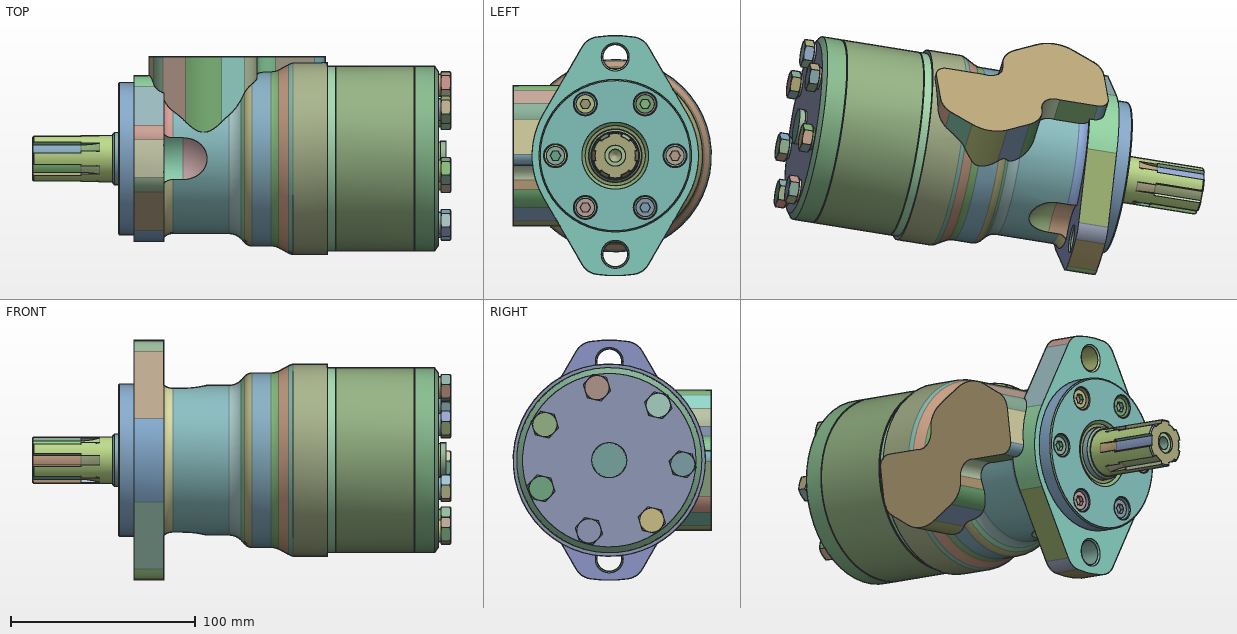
import cadquery as cq
import math


PLAIN_SHAFT_END = 43.1
COVER_FACE = 46.3
FLANGE_FRONT = 54.7
FLANGE_BACK = 71.0
HOUSING_END = 159.3
PLATE_END = 163.5
RING_END = 206.5
CAP_END = 219.3
BOLT_END = 226.0

SHAFT_RADIUS = 12.7
SPLINE_ROOT_RADIUS = 10.8
SPLINE_COUNT = 6
SPLINE_TOOTH_WIDTH = 6.0
SPLINE_RUNOUT_WIDTH = 5.0
SPLINE_LENGTH = 26.0
SPLINE_RUNOUT_END = 36.1
COLLAR_RADIUS = 14.2
COLLAR_CHAMFER = 1.1
SHAFT_TIP_CHAMFER = 0.7
CENTER_HOLE_DIAMETER = 7.0
CENTER_HOLE_MOUTH_DIAMETER = 11.3
CENTER_HOLE_MOUTH_DEPTH = 1.4
CENTER_HOLE_DEPTH = 11.3
DRILL_POINT_ANGLE = 118.0

COVER_RADIUS = 82.5 / 2
COVER_CHAMFER = 0.7
COVER_BORE_DIAMETER = 29.0
SEAL_RECESS_DIAMETER = 32.5
SEAL_RECESS_DEPTH = 1.1
SEAL_RECESS_CHAMFER = 1.8
SCREW_COUNT = 6
SCREW_CIRCLE_RADIUS = 32.3
SCREW_POCKET_DIAMETER = 12.0
SCREW_POCKET_DEPTH = 6.0
SCREW_POCKET_CHAMFER = 0.5
SCREW_HEAD_DIAMETER = 10.0
SCREW_HEAD_HEIGHT = 4.5
SCREW_SOCKET_WIDTH = 5.0
SCREW_SOCKET_DEPTH = 2.3

FLANGE_SIDE_RADIUS = 45.0
FLANGE_TIP_RADIUS = 130.0 / 2
FLANGE_CORNER_RADIUS = 10.8
FLANGE_FLANK_ANGLE = 30.0
MOUNT_HOLE_DIAMETER = 13.3
MOUNT_HOLE_OFFSET = 53.3
MOUNT_HOLE_CHAMFER = 1.0
BOLT_POCKET_RADIUS = 18.3
BOLT_POCKET_BALL_X = 81.0

NECK_RADIUS = 81.0 / 2
NECK_START = 75.7
NECK_ROOT_RADIUS = 42.7
NECK_END = 106.2
SHOULDER_RADIUS = 47.2
TAIL_RADIUS = 52.0

BLOCK_TOP = 55.1
BLOCK_CENTER_X = 110.5
BLOCK_HALF_LENGTH = 47.7
BOSS_OFFSET_X = -18.0
BOSS_CENTER_Z = 18.5
BOSS_RADIUS = 19.5
BOSS_FLANK_ANGLE = 30.0

STACK_RADIUS = 100.0 / 2
RING_CHAMFER = 0.5
CAP_CHAMFER_LENGTH = 2.3
CAP_CHAMFER_DEPTH = 3.2
BOLT_COUNT = 7
BOLT_CIRCLE_RADIUS = 39.8
BOLT_START_ANGLE = -3.2
BOLT_HEAD_WIDTH = 13.0
BOLT_HEX_TURN = -13.0
BOLT_HEAD_START = 220.5
BOLT_WASHER_DIAMETER = 12.0
PLUG_DIAMETER = 19.0
PLUG_NECK_DIAMETER = 18.0
PLUG_HEAD_START = 220.3
PLUG_END = 223.5


def disc(x_start, x_end, radius):
    """Cylinder on the motor axis between two stations."""
    return cq.Workplane("YZ", origin=(x_start, 0, 0)).circle(radius).extrude(x_end - x_start)


def revolved(profile):
    """Turn a closed (x, radius) profile about the motor axis."""
    return profile.close().revolve(360, (0, 0, 0), (1, 0, 0))


def ring_points(count, radius, start_angle=0.0):
    """Evenly spaced (y, z) points on a circle about the motor axis."""
    angles = [math.radians(start_angle + 360 * i / count) for i in range(count)]
    return [(radius * math.cos(a), radius * math.sin(a)) for a in angles]



def spline_bars(width):
    """Bars across the shaft, one through each pair of opposite teeth."""
    bar = cq.Workplane("YZ").rect(width, 4 * SHAFT_RADIUS).extrude(SPLINE_RUNOUT_END)
    return [bar.rotate((0, 0, 0), (1, 0, 0), 360 * i / SPLINE_COUNT) for i in range(SPLINE_COUNT // 2)]


def spline_grooves():
    """Straight grooves between parallel-sided teeth."""
    outside = 2 * SHAFT_RADIUS - SPLINE_ROOT_RADIUS
    grooves = disc(0, SPLINE_LENGTH, outside).cut(disc(0, SPLINE_LENGTH, SPLINE_ROOT_RADIUS))
    for bar in spline_bars(SPLINE_TOOTH_WIDTH):
        grooves = grooves.cut(bar)
    return grooves


def spline_runouts():
    """Narrower groove ends whose floors curve up to the shaft surface."""
    depth = SHAFT_RADIUS - SPLINE_ROOT_RADIUS
    runout = SPLINE_RUNOUT_END - SPLINE_LENGTH
    sweep = revolved(
        cq.Workplane("XY")
        .moveTo(SPLINE_LENGTH, SHAFT_RADIUS + depth)
        .lineTo(SPLINE_LENGTH, SPLINE_ROOT_RADIUS)
        .threePointArc(
            (SPLINE_LENGTH + runout / 2, SPLINE_ROOT_RADIUS + depth / 4),
            (SPLINE_RUNOUT_END, SHAFT_RADIUS),
        )
        .lineTo(SPLINE_RUNOUT_END, SHAFT_RADIUS + depth)
    )
    half_pitch = 180 / SPLINE_COUNT
    bars = [bar.rotate((0, 0, 0), (1, 0, 0), half_pitch) for bar in spline_bars(SPLINE_RUNOUT_WIDTH)]
    return [sweep.intersect(bar) for bar in bars]


def center_hole():
    """Counterbored hole with a drill point in the end of the shaft."""
    radius = CENTER_HOLE_DIAMETER / 2
    mouth_radius = CENTER_HOLE_MOUTH_DIAMETER / 2
    point_length = radius / math.tan(math.radians(DRILL_POINT_ANGLE / 2))
    return revolved(
        cq.Workplane("XY")
        .lineTo(0, mouth_radius)
        .lineTo(CENTER_HOLE_MOUTH_DEPTH, mouth_radius)
        .lineTo(CENTER_HOLE_MOUTH_DEPTH, radius)
        .lineTo(CENTER_HOLE_DEPTH, radius)
        .lineTo(CENTER_HOLE_DEPTH + point_length, 0)
    )


def make_shaft():
    collar = disc(PLAIN_SHAFT_END, FLANGE_FRONT, COLLAR_RADIUS).faces("<X").chamfer(COLLAR_CHAMFER)
    bar = disc(0, FLANGE_FRONT, SHAFT_RADIUS).faces("<X").chamfer(SHAFT_TIP_CHAMFER)
    shaft_body = bar.union(collar).cut(spline_grooves()).cut(center_hole())
    for runout in spline_runouts():
        shaft_body = shaft_body.cut(runout)
    return shaft_body



def cover_screw_heads():
    """Socket screw heads standing on the floors of the cover's screw pockets."""
    socket_corner_diameter = SCREW_SOCKET_WIDTH / math.cos(math.radians(30))
    floor = COVER_FACE + SCREW_POCKET_DEPTH
    points = ring_points(SCREW_COUNT, SCREW_CIRCLE_RADIUS)
    return (
        cq.Workplane("YZ", origin=(floor - SCREW_HEAD_HEIGHT, 0, 0))
        .pushPoints(points)
        .circle(SCREW_HEAD_DIAMETER / 2)
        .extrude(SCREW_HEAD_HEIGHT)
        .cut(
            cq.Workplane("YZ", origin=(floor - SCREW_HEAD_HEIGHT, 0, 0))
            .pushPoints(points)
            .polygon(6, socket_corner_diameter)
            .extrude(SCREW_SOCKET_DEPTH)
        )
    )


def make_front_cover():
    recess_radius = SEAL_RECESS_DIAMETER / 2
    body = disc(COVER_FACE, FLANGE_FRONT, COVER_RADIUS).faces("<X").chamfer(COVER_CHAMFER)
    bore = disc(COVER_FACE, FLANGE_FRONT, COVER_BORE_DIAMETER / 2)
    recess = revolved(
        cq.Workplane("XY")
        .moveTo(COVER_FACE, 0)
        .lineTo(COVER_FACE, recess_radius + SEAL_RECESS_CHAMFER)
        .lineTo(COVER_FACE + SEAL_RECESS_DEPTH, recess_radius)
        .lineTo(COVER_FACE + SEAL_RECESS_DEPTH, 0)
    )
    pockets = (
        cq.Workplane("YZ", origin=(COVER_FACE, 0, 0))
        .pushPoints(ring_points(SCREW_COUNT, SCREW_CIRCLE_RADIUS))
        .circle(SCREW_POCKET_DIAMETER / 2)
        .extrude(SCREW_POCKET_DEPTH)
    )
    mouths = (
        cq.Workplane("YZ", origin=(COVER_FACE, 0, 0))
        .pushPoints(ring_points(SCREW_COUNT, SCREW_CIRCLE_RADIUS))
        .circle(SCREW_POCKET_DIAMETER / 2 + SCREW_POCKET_CHAMFER)
        .extrude(SCREW_POCKET_CHAMFER, taper=45)
    )
    return body.cut(bore).cut(recess).cut(pockets).cut(mouths).union(cover_screw_heads())



def mounting_flange():
    """Rounded diamond plate; its flanks are tangent to the side radius."""
    flank = math.radians(FLANGE_FLANK_ANGLE)
    half_width = FLANGE_SIDE_RADIUS / math.cos(flank)
    half_height = FLANGE_SIDE_RADIUS / math.sin(flank)
    thickness = FLANGE_BACK - FLANGE_FRONT
    diamond = (
        cq.Workplane("YZ", origin=(FLANGE_FRONT, 0, 0))
        .polyline([(half_width, 0), (0, half_height), (-half_width, 0), (0, -half_height)])
        .close()
        .extrude(thickness)
        .edges("|X and (<Y or >Y)")
        .fillet(FLANGE_SIDE_RADIUS)
    )
    tips = disc(FLANGE_FRONT, FLANGE_BACK, FLANGE_TIP_RADIUS)
    tip_zone = cq.selectors.BoxSelector(
        (FLANGE_FRONT, -half_width, MOUNT_HOLE_OFFSET),
        (FLANGE_BACK, half_width, FLANGE_TIP_RADIUS),
    )
    lower_tip_zone = cq.selectors.BoxSelector(
        (FLANGE_FRONT, -half_width, -MOUNT_HOLE_OFFSET),
        (FLANGE_BACK, half_width, -FLANGE_TIP_RADIUS),
    )
    corners = cq.selectors.AndSelector(
        cq.selectors.ParallelDirSelector(cq.Vector(1, 0, 0)),
        cq.selectors.SumSelector(tip_zone, lower_tip_zone),
    )
    return diamond.intersect(tips).edges(corners).fillet(FLANGE_CORNER_RADIUS)


def barrel():
    """Turned body: neck, two shoulders joined by smooth curves, and a cylindrical tail."""
    return revolved(
        cq.Workplane("XY")
        .moveTo(FLANGE_FRONT, 0)
        .lineTo(FLANGE_FRONT, NECK_RADIUS)
        .lineTo(FLANGE_BACK, NECK_RADIUS)
        .lineTo(FLANGE_BACK, NECK_ROOT_RADIUS)
        .threePointArc((73.0, 41.1), (NECK_START, NECK_RADIUS))
        .lineTo(NECK_END, NECK_RADIUS)
        .tangentArcPoint((112.5, 43.1), relative=False)
        .lineTo(114.3, 45.2)
        .tangentArcPoint((118.4, SHOULDER_RADIUS), relative=False)
        .lineTo(128.8, SHOULDER_RADIUS)
        .tangentArcPoint((132.8, 48.1), relative=False)
        .lineTo(138.3, 51.0)
        .tangentArcPoint((140.7, TAIL_RADIUS), relative=False)
        .lineTo(HOUSING_END, TAIL_RADIUS)
        .lineTo(HOUSING_END, 0)
    )


def port_block():
    """Flat-topped block with two staggered, rounded port bosses."""
    flank = math.radians(BOSS_FLANK_ANGLE)
    boss_side = BOSS_RADIUS * math.sin(flank)
    boss_side_z = BOSS_CENTER_Z + BOSS_RADIUS * math.cos(flank)
    boss_top = (BOSS_OFFSET_X, BOSS_CENTER_Z + BOSS_RADIUS)

    def half(outline, sign):
        """One half of the outline, from one end of the block to the other."""
        def at(x, z):
            return (sign * x, sign * z)

        return (
            outline
            .lineTo(*at(-45.2, 19.7))
            .threePointArc(at(-43.4, 24.6), at(-40.0, 28.2))
            .lineTo(*at(BOSS_OFFSET_X - boss_side, boss_side_z))
            .threePointArc(at(*boss_top), at(BOSS_OFFSET_X + boss_side, boss_side_z))
            .lineTo(*at(4.0, 28.0))
            .tangentArcPoint(at(10.8, 18.3), relative=False)
            .lineTo(*at(10.8, 13.0))
            .tangentArcPoint(at(20.8, 5.2), relative=False)
            .lineTo(*at(41.8, 5.2))
            .tangentArcPoint(at(BLOCK_HALF_LENGTH, -0.7), relative=False)
        )

    outline = cq.Workplane("XZ", origin=(BLOCK_CENTER_X, 0, 0)).moveTo(-BLOCK_HALF_LENGTH, 0.7)
    return half(half(outline, 1), -1).close().extrude(-BLOCK_TOP)


def mounting_hole(side):
    """Flange hole with chamfered ends and the round-ended pocket behind it."""
    z = side * MOUNT_HOLE_OFFSET
    radius = MOUNT_HOLE_DIAMETER / 2
    mouth = radius + MOUNT_HOLE_CHAMFER
    hole = (
        cq.Workplane("XY")
        .moveTo(FLANGE_FRONT, 0)
        .lineTo(FLANGE_FRONT, mouth)
        .lineTo(FLANGE_FRONT + MOUNT_HOLE_CHAMFER, radius)
        .lineTo(FLANGE_BACK - MOUNT_HOLE_CHAMFER, radius)
        .lineTo(FLANGE_BACK, mouth)
        .lineTo(FLANGE_BACK, 0)
    )
    pocket = (
        cq.Workplane("XY")
        .moveTo(FLANGE_BACK, 0)
        .lineTo(FLANGE_BACK, BOLT_POCKET_RADIUS)
        .lineTo(BOLT_POCKET_BALL_X, BOLT_POCKET_RADIUS)
        .tangentArcPoint((BOLT_POCKET_RADIUS, -BOLT_POCKET_RADIUS), relative=True)
    )
    return revolved(hole).union(revolved(pocket)).translate((0, 0, z))


def make_housing():
    body = barrel().union(mounting_flange()).union(port_block())
    for side in (1, -1):
        body = body.cut(mounting_hole(side))
    return body



def make_port_plate():
    return disc(HOUSING_END, PLATE_END, STACK_RADIUS)


def make_gear_ring():
    return disc(PLATE_END, RING_END, STACK_RADIUS).faces("<X or >X").chamfer(RING_CHAMFER)


def bolt_heads():
    """Hexagon heads with washer faces and bevelled corners."""
    corner_radius = BOLT_HEAD_WIDTH / 2 / math.cos(math.radians(30))
    length = BOLT_END - BOLT_HEAD_START
    washer = disc(CAP_END, BOLT_HEAD_START, BOLT_WASHER_DIAMETER / 2)
    bevel = corner_radius - BOLT_HEAD_WIDTH / 2
    envelope = disc(BOLT_HEAD_START, BOLT_END, corner_radius).faces("<X or >X").chamfer(bevel / 2, bevel)
    head = (
        cq.Workplane("YZ", origin=(BOLT_HEAD_START, 0, 0))
        .polygon(6, 2 * corner_radius)
        .extrude(length)
        .rotate((0, 0, 0), (1, 0, 0), BOLT_HEX_TURN)
        .intersect(envelope)
        .union(washer)
    )
    points = ring_points(BOLT_COUNT, BOLT_CIRCLE_RADIUS, BOLT_START_ANGLE)
    return [head.translate((0, y, z)) for y, z in points]


def make_end_cap():
    cap = revolved(
        cq.Workplane("XY")
        .moveTo(RING_END, 0)
        .lineTo(RING_END, STACK_RADIUS)
        .lineTo(CAP_END - CAP_CHAMFER_LENGTH, STACK_RADIUS)
        .lineTo(CAP_END, STACK_RADIUS - CAP_CHAMFER_DEPTH)
        .lineTo(CAP_END, 0)
    )
    plug_neck = disc(CAP_END, PLUG_HEAD_START, PLUG_NECK_DIAMETER / 2)
    plug_head = disc(PLUG_HEAD_START, PLUG_END, PLUG_DIAMETER / 2)
    cap = cap.union(plug_neck).union(plug_head)
    for head in bolt_heads():
        cap = cap.union(head)
    return cap


shaft = make_shaft()
front_cover = make_front_cover()
housing = make_housing()
port_plate = make_port_plate()
gear_ring = make_gear_ring()
end_cap = make_end_cap()

result = cq.Compound.makeCompound([
    shaft.val(),
    front_cover.val(),
    housing.val(),
    port_plate.val(),
    gear_ring.val(),
    end_cap.val(),
])